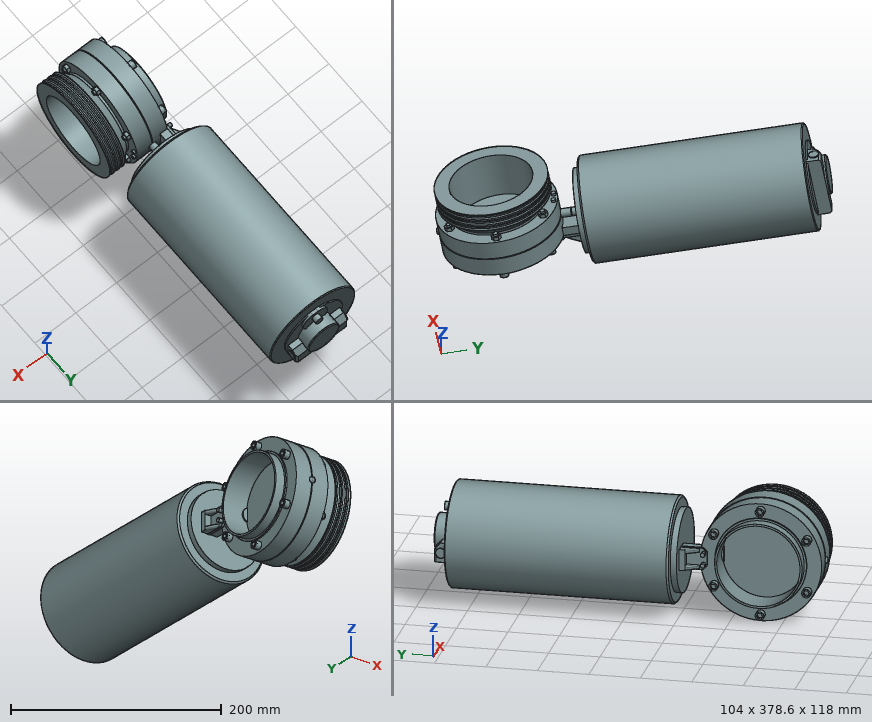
import cadquery as cq
import math


flange_radius = 59.0
flange_half_width = 18.75
seam_chamfer = 0.5
bore_radius = 40.5

weld_collar_radius = 44.6
weld_collar_end = 20.4
weld_pipe_radius = 42.5
weld_pipe_end = 30.5

neck_radius = 46.0
neck_end = 21.3
thread_start = 30.5
thread_end = 49.2
thread_radius = 55.0
thread_depth = 0.7
thread_pitch = 25.4 / 4
thread_lead_in = 0.6
thread_flat = thread_pitch / 4

bolt_count = 6
bolt_circle_radius = 52.2
bolt_head_diameter = 8.5
bolt_head_height = 6.3
socket_across_corners = 6.0
socket_depth = 3.0
nut_across_flats = 8.0
nut_height = 3.8
bolt_diameter = 5.0
bolt_tip_length = 6.0

disc_half_thickness = 3.0
stem_radius = 4.25
hub_radius = 8.0
hub_face = 38.9
shaft_joint = 69.2
shaft_bevel = 0.5
pivot_radius = 3.2
pivot_end = -61.0
pivot_fillet = 1.5

actuator_radius = 52.0
actuator_bottom = 83.3
actuator_top = 300.8
bottom_chamfer = 1.8
top_chamfer = 1.0
cap_radius = 41.0
cap_bottom = 77.3
top_disc_radius = 35.0
top_disc_height = 1.5
air_boss_radius = 19.0
air_boss_top = 317.65
air_boss_chamfer = 1.0

port_half_span = 31.4
port_top = 315.0
port_z_bottom = -air_boss_radius
port_z_top = 0.5
port_bevel_y = 6.2
port_bevel_z = 7.0
port_end_chamfer = 2.0
port_plug_radius = 5.0
port_plug_length = 1.1
port_plug_y = 308.3
port_plug_z = -9.5

indicator_length = 29.6
indicator_width = 23.4
indicator_z = 23.3
indicator_top = 304.7
indicator_pin_radius = 4.2
indicator_pin_z = 27.2
indicator_pin_top = 310.6

bracket_half_width = 10.8
bracket_inner_x = -9.8
plate_outer_x = -21.4
plate_bottom = 52.0
plate_corner_chamfer = 4.0
web_half_width = 10.4
foot_outer_x = -28.6
foot_thickness = 5.6
rib_inner_z = 6.2
rib_fillet = 1.2
rib_bottom = 59.0
rib_bulge_x = -26.0
rib_bulge_y = 66.5

bracket_screw_z = 5.4
bracket_screw_y = 55.2
bracket_screw_radius = 2.2
bracket_screw_head_height = 4.4
bracket_screw_tip_length = 2.5


def x_cylinder(radius, x_start, x_end, y=0.0, z=0.0):
    return cq.Workplane("YZ", origin=(x_start, y, z)).circle(radius).extrude(x_end - x_start)


def y_cylinder(radius, y_start, y_end, z=0.0):
    return cq.Workplane("XZ", origin=(0, y_start, z)).circle(radius).extrude(y_start - y_end)


def box_between(x_range, y_range, z_range):
    size = [high - low for low, high in (x_range, y_range, z_range)]
    return cq.Workplane("XY").box(*size, centered=False).translate((x_range[0], y_range[0], z_range[0]))


def bolt_places():
    for index in range(bolt_count):
        angle = math.radians(90 + index * 360 / bolt_count)
        yield bolt_circle_radius * math.cos(angle), bolt_circle_radius * math.sin(angle)


def drill_stem_holes(flange):
    flange = flange.cut(y_cylinder(stem_radius, 0, flange_radius + 1))
    return flange.cut(y_cylinder(pivot_radius, 0, pivot_end))


def make_weld_flange():
    """Flange with a pipe end for welding and the bolt heads, on the -X side."""
    flange = x_cylinder(flange_radius, -flange_half_width, 0).faces(">X").chamfer(seam_chamfer)
    flange = flange.union(x_cylinder(weld_collar_radius, -weld_collar_end, -flange_half_width))
    flange = flange.union(x_cylinder(weld_pipe_radius, -weld_pipe_end, -weld_collar_end))
    flange = flange.cut(x_cylinder(bore_radius, -weld_pipe_end, 0))
    head_face = -flange_half_width - bolt_head_height
    for y, z in bolt_places():
        head = x_cylinder(bolt_head_diameter / 2, head_face, -flange_half_width, y, z)
        socket = (
            cq.Workplane("YZ", origin=(head_face, y, z))
            .polygon(6, socket_across_corners)
            .extrude(socket_depth)
        )
        flange = flange.union(head.cut(socket))
    return drill_stem_holes(flange)


def make_threaded_end():
    """Neck, cone and ring-shaped thread grooves, revolved about the X axis."""
    root_radius = thread_radius - thread_depth
    half_groove = (thread_pitch - thread_flat) / 2
    profile = (
        cq.Workplane("XY")
        .moveTo(0, 0)
        .lineTo(0, neck_radius)
        .lineTo(neck_end, neck_radius)
        .lineTo(thread_start, thread_radius)
    )
    groove = thread_start + thread_lead_in + half_groove
    while groove + half_groove < thread_end:
        profile = profile.lineTo(groove - half_groove, thread_radius)
        profile = profile.lineTo(groove - thread_flat / 2, root_radius)
        profile = profile.lineTo(groove + thread_flat / 2, root_radius)
        profile = profile.lineTo(groove + half_groove, thread_radius)
        groove += thread_pitch
    profile = profile.lineTo(thread_end, thread_radius).lineTo(thread_end, 0).close()
    return profile.revolve(360, (0, 0, 0), (1, 0, 0))


def make_threaded_flange():
    """Flange with a threaded end, the nuts and the bolt and screw tips, on the +X side."""
    flange = x_cylinder(flange_radius, 0, flange_half_width).faces("<X").chamfer(seam_chamfer)
    flange = flange.union(make_threaded_end())
    flange = flange.cut(x_cylinder(bore_radius, 0, thread_end))
    nut_across_corners = nut_across_flats / math.cos(math.pi / 6)
    for y, z in bolt_places():
        nut = (
            cq.Workplane("YZ", origin=(flange_half_width, y, z))
            .polygon(6, nut_across_corners)
            .extrude(nut_height)
        )
        tip = x_cylinder(bolt_diameter / 2, flange_half_width, flange_half_width + bolt_tip_length, y, z)
        flange = flange.union(nut).union(tip)
    screw_tip_face = flange_half_width + bracket_screw_tip_length
    for z in (-bracket_screw_z, bracket_screw_z):
        tip = x_cylinder(bracket_screw_radius, flange_half_width, screw_tip_face, bracket_screw_y, z)
        flange = flange.union(tip)
    return drill_stem_holes(flange)


def make_disc():
    """Closed disc with its two hubs, the driven stem and the lower pivot."""
    disc = x_cylinder(bore_radius, -disc_half_thickness, disc_half_thickness)
    hubs = y_cylinder(hub_radius, hub_face, bore_radius)
    hubs = hubs.union(y_cylinder(hub_radius, -hub_face, -bore_radius))
    disc = disc.union(hubs.intersect(x_cylinder(bore_radius, -hub_radius, hub_radius)))
    stem = y_cylinder(stem_radius, hub_face, shaft_joint).faces(">Y").chamfer(shaft_bevel)
    pivot = y_cylinder(pivot_radius, -hub_face, pivot_end).faces("<Y").edges().fillet(pivot_fillet)
    return disc.union(stem).union(pivot)


def make_air_ports():
    """Bevelled block across the boss with a round plug at each end."""
    ports = (
        cq.Workplane("YZ", origin=(-port_half_span, 0, 0))
        .moveTo(actuator_top, port_z_bottom)
        .lineTo(port_top, port_z_bottom)
        .lineTo(port_top, port_z_top - port_bevel_z)
        .lineTo(port_top - port_bevel_y, port_z_top)
        .lineTo(actuator_top, port_z_top)
        .close()
        .extrude(2 * port_half_span)
        .faces(">Y")
        .edges("<X or >X")
        .chamfer(port_end_chamfer)
    )
    plug_face = port_half_span + port_plug_length
    return ports.union(x_cylinder(port_plug_radius, -plug_face, plug_face, port_plug_y, port_plug_z))


def make_indicator():
    indicator = (
        cq.Workplane("XZ", origin=(0, actuator_top, indicator_z))
        .slot2D(indicator_length, indicator_width)
        .extrude(actuator_top - indicator_top)
    )
    pin = y_cylinder(indicator_pin_radius, actuator_top, indicator_pin_top, z=indicator_pin_z)
    return indicator.union(pin)


def make_actuator():
    actuator = (
        y_cylinder(actuator_radius, actuator_bottom, actuator_top)
        .faces("<Y").chamfer(bottom_chamfer)
        .faces(">Y").chamfer(top_chamfer)
    )
    shaft = y_cylinder(stem_radius, shaft_joint, cap_bottom).faces("<Y").chamfer(shaft_bevel)
    boss = y_cylinder(air_boss_radius, actuator_top, air_boss_top).faces(">Y").chamfer(air_boss_chamfer)
    actuator = actuator.union(y_cylinder(cap_radius, cap_bottom, actuator_bottom)).union(shaft)
    actuator = actuator.union(y_cylinder(top_disc_radius, actuator_top, actuator_top + top_disc_height))
    return actuator.union(boss).union(make_air_ports()).union(make_indicator())


def make_bracket_rib(z_start):
    """Rib with a bowed outer edge running from the foot down to the plate."""
    return (
        cq.Workplane("XY", origin=(0, 0, z_start))
        .moveTo(plate_outer_x, rib_bottom)
        .threePointArc((rib_bulge_x, rib_bulge_y), (foot_outer_x, cap_bottom - foot_thickness))
        .lineTo(foot_outer_x, cap_bottom)
        .lineTo(plate_outer_x, cap_bottom)
        .close()
        .extrude(web_half_width - rib_inner_z)
        .edges("%CIRCLE")
        .fillet(rib_fillet)
    )


def make_bracket():
    """Angle bracket that holds the actuator on the edge of the weld flange."""
    full_width = (-bracket_half_width, bracket_half_width)
    plate = box_between((plate_outer_x, -flange_half_width), (plate_bottom, cap_bottom), full_width)
    plate = plate.faces("<Y").edges("<Z or >Z").chamfer(plate_corner_chamfer)
    web_width = (-web_half_width, web_half_width)
    block = box_between((-flange_half_width, bracket_inner_x), (plate_bottom, cap_bottom), web_width)
    block = block.cut(x_cylinder(flange_radius, -flange_half_width, 0))
    foot = box_between((foot_outer_x, plate_outer_x), (cap_bottom - foot_thickness, cap_bottom), web_width)
    bracket = plate.union(block).union(foot)
    for z_start in (-web_half_width, rib_inner_z):
        bracket = bracket.union(make_bracket_rib(z_start))
    screw_head_face = plate_outer_x - bracket_screw_head_height
    for z in (-bracket_screw_z, bracket_screw_z):
        head = x_cylinder(bracket_screw_radius, screw_head_face, plate_outer_x, bracket_screw_y, z)
        bracket = bracket.union(head)
    return bracket


weld_flange = make_weld_flange()
threaded_flange = make_threaded_flange()
disc = make_disc()
actuator = make_actuator()
bracket = make_bracket()

result = cq.Compound.makeCompound(
    [weld_flange.val(), threaded_flange.val(), disc.val(), actuator.val(), bracket.val()]
)